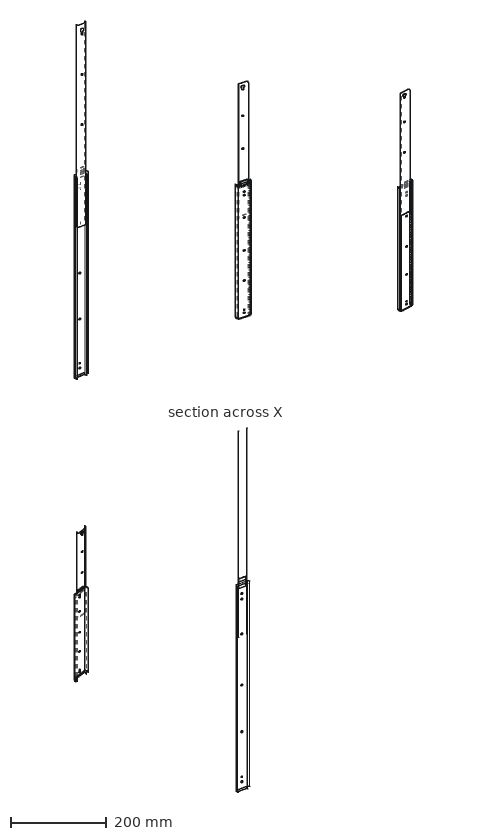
import cadquery as cq
import math

slide_depth = 9.6
slide_width = 35.27
slide_height = 889.5
back_x = -slide_depth / 2
front_x = slide_depth / 2
sheet = 1.2

outer_bottom = 4.0
outer_top = 510.5
race_radius = 7.2
race_start_angle = 60.0
race_end_angle = 18.0
race_centre_x = back_x + race_radius * math.sin(math.radians(race_start_angle))
race_centre_y = slide_width / 2 - race_radius
outer_hole_diameter = 4.6
outer_hole_heights = [20.1, 143.3, 258.5, 384.5, 470.2, 483.6]
outer_pilot_diameter = 3.6
outer_pilot_height = 32.1

inner_length = 508.0
inner_width = 23.0
inner_lip_x = -1.2
inner_bend_radius = 2.6
inner_bottom = slide_height - inner_length
inner_hole_diameter = 4.6
inner_hole_heights = [636.3, 762.2]
keyhole_diameter = 8.6
keyhole_height = 874.0
keyhole_slot_width = 4.0
keyhole_slot_bottom = 861.4

cage_width = 25.8
cage_sheet = 1.2
cage_back_x = back_x + sheet
cage_front_x = 3.4
cage_bottom = 0.0
cage_recess = 4.0
cage_top = outer_top - cage_recess
tongue_width = 17.4
tongue_step = 1.0
tongue_overlap = 6.0
lip_bottom = 515.8
lip_top = 523.8


def race_point(radius, angle, side):
    """Point on a race arc; the angle is 0 at the widest place and grows towards +X."""
    turn = math.radians(angle)
    return (
        race_centre_x + radius * math.sin(turn),
        side * (race_centre_y + radius * math.cos(turn)),
    )


def box(x_range, y_range, z_range):
    """Box between two corners given as ranges along each axis."""
    lengths = [high - low for low, high in (x_range, y_range, z_range)]
    corner = cq.Vector(x_range[0], y_range[0], z_range[0])
    return cq.Workplane("XY").box(*lengths, centered=False).translate(corner)


def web_hole(diameter, height):
    """Round cutter along X, through any web."""
    return (
        cq.Workplane("YZ", origin=(back_x, 0, height))
        .circle(diameter / 2)
        .extrude(slide_depth)
    )


def make_outer_rail():
    inside_radius = race_radius - sheet
    web_front_x = back_x + sheet
    inside_start = -math.degrees(math.asin((race_centre_x - web_front_x) / inside_radius))
    outside_start = -race_start_angle
    outside_middle = (outside_start + race_end_angle) / 2
    inside_middle = (inside_start + race_end_angle) / 2
    rail = (
        cq.Workplane("XY", origin=(0, 0, outer_bottom))
        .moveTo(*race_point(race_radius, outside_start, -1))
        .lineTo(*race_point(race_radius, outside_start, 1))
        .threePointArc(
            race_point(race_radius, outside_middle, 1), race_point(race_radius, race_end_angle, 1)
        )
        .lineTo(*race_point(inside_radius, race_end_angle, 1))
        .threePointArc(
            race_point(inside_radius, inside_middle, 1), race_point(inside_radius, inside_start, 1)
        )
        .lineTo(*race_point(inside_radius, inside_start, -1))
        .threePointArc(
            race_point(inside_radius, inside_middle, -1),
            race_point(inside_radius, race_end_angle, -1),
        )
        .lineTo(*race_point(race_radius, race_end_angle, -1))
        .threePointArc(
            race_point(race_radius, outside_middle, -1),
            race_point(race_radius, outside_start, -1),
        )
        .close()
        .extrude(outer_top - outer_bottom)
    )
    for height in outer_hole_heights:
        rail = rail.cut(web_hole(outer_hole_diameter, height))
    return rail.cut(web_hole(outer_pilot_diameter, outer_pilot_height))


def make_inner_rail():
    half = inner_width / 2
    rail_z = (inner_bottom, slide_height)
    body = box((inner_lip_x, front_x), (-half, half), rail_z)
    body = body.edges("|Z and >X").fillet(inner_bend_radius)
    hollow_half = half - sheet
    hollow = box((inner_lip_x, front_x - sheet), (-hollow_half, hollow_half), rail_z)
    hollow = hollow.edges("|Z and >X").fillet(inner_bend_radius - sheet)
    rail = body.cut(hollow)
    for height in inner_hole_heights:
        rail = rail.cut(web_hole(inner_hole_diameter, height))
    slot_half = keyhole_slot_width / 2
    slot_end_height = keyhole_slot_bottom + slot_half
    slot = box((back_x, front_x), (-slot_half, slot_half), (slot_end_height, keyhole_height))
    rail = rail.cut(slot).cut(web_hole(keyhole_slot_width, slot_end_height))
    return rail.cut(web_hole(keyhole_diameter, keyhole_height))


def make_ball_cage():
    half = cage_width / 2
    cage_z = (cage_bottom, cage_top)
    hollow_half = half - cage_sheet
    body = box((cage_back_x, cage_front_x), (-half, half), cage_z)
    hollow = box((cage_back_x + cage_sheet, cage_front_x), (-hollow_half, hollow_half), cage_z)
    tongue_y = (-tongue_width / 2, tongue_width / 2)
    web_x = (cage_back_x, cage_back_x + cage_sheet)
    neck_x = (cage_back_x + tongue_step, cage_back_x + tongue_step + cage_sheet)
    neck = box(neck_x, tongue_y, (cage_top - tongue_overlap, lip_top))
    lip = box(web_x, tongue_y, (lip_bottom, lip_top))
    return body.cut(hollow).union(neck).union(lip)


outer_rail = make_outer_rail()
inner_rail = make_inner_rail()
ball_cage = make_ball_cage()

result = cq.Compound.makeCompound([outer_rail.val(), inner_rail.val(), ball_cage.val()])